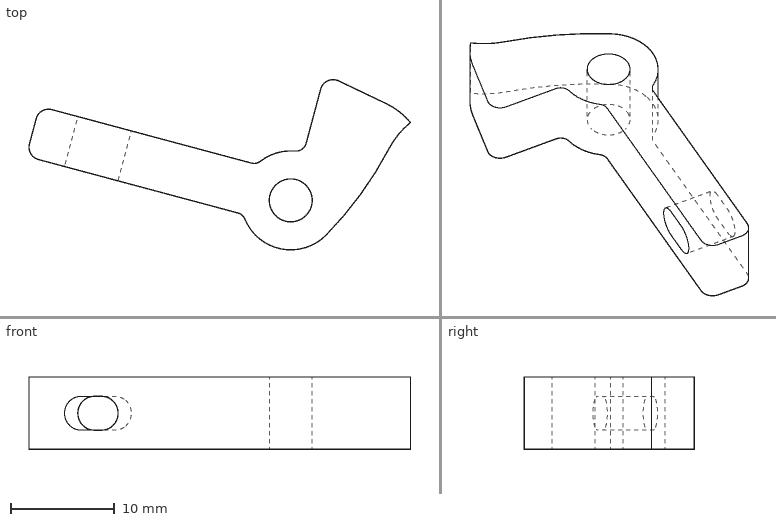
import cadquery as cq
import math

thickness = 7.0
tilt = 15.0

boss_radius = 4.8
bore_radius = 2.05

arm_width = 5.0
arm_reach = 25.77
corner_radius = 1.25
blend_radius = 1.0

slot_length = 5.35
slot_height = 3.25
slot_reach = 19.25

tip = (11.55, 7.5)
top_arc_start = (9.2, 9.35)
top_slope = 25.5
back_arc_end = (9.5, 5.0)
back_start_angle = 44.4


def arm_point(along, across):
    """Turn a position along and across the arm into X, Y."""
    angle = math.radians(tilt)
    x = along * math.cos(angle) + across * math.sin(angle)
    y = across * math.cos(angle) - along * math.sin(angle)
    return x, y


def head_corner():
    """Sharp corner where the inner side meets the line of the top edge."""
    fall = math.tan(math.radians(top_slope))
    lean = math.tan(math.radians(tilt))
    y = (top_arc_start[1] + fall * top_arc_start[0]) / (1 + fall * lean)
    return y * lean, y


def make_arm():
    return (
        cq.Workplane("XY")
        .center(-arm_reach / 2, 0)
        .rect(arm_reach, arm_width)
        .extrude(thickness)
        .edges("|Z and <X")
        .fillet(corner_radius)
        .rotate((0, 0, 0), (0, 0, 1), -tilt)
    )


def make_head():
    angle = math.radians(back_start_angle)
    back_start = (boss_radius * math.cos(angle), -boss_radius * math.sin(angle))
    back_tangent = cq.Vector(math.sin(angle), math.cos(angle))
    back = cq.Edge.makeTangentArc(cq.Vector(*back_start), back_tangent, cq.Vector(*back_arc_end))
    under_tip = cq.Edge.makeTangentArc(cq.Vector(*back_arc_end), back.tangentAt(1), cq.Vector(*tip))
    slope = math.radians(top_slope)
    top_tangent = cq.Vector(math.cos(slope), -math.sin(slope))
    top_arc = cq.Edge.makeTangentArc(cq.Vector(*top_arc_start), top_tangent, cq.Vector(*tip))
    straight_sides = [
        cq.Edge.makeLine(cq.Vector(*top_arc_start), cq.Vector(*head_corner())),
        cq.Edge.makeLine(cq.Vector(*head_corner()), cq.Vector(0, 0)),
        cq.Edge.makeLine(cq.Vector(0, 0), cq.Vector(*back_start)),
    ]
    outline = cq.Wire.assembleEdges([back, under_tip, top_arc] + straight_sides)
    return cq.Workplane("XY").add(outline).toPending().extrude(thickness)


def round_edge(body, point, radius):
    """Round the upright edge that stands at the given X, Y point."""
    middle = (point[0], point[1], thickness / 2)
    return body.edges("|Z").edges(cq.selectors.NearestToPointSelector(middle)).fillet(radius)


def cut_slot(body):
    slot = (
        cq.Workplane("XZ")
        .center(-slot_reach, thickness / 2)
        .slot2D(slot_length, slot_height)
        .extrude(arm_width, both=True)
        .rotate((0, 0, 0), (0, 0, 1), -tilt)
    )
    return body.cut(slot)


boss = cq.Workplane("XY").circle(boss_radius).extrude(thickness)
body = boss.union(make_arm()).union(make_head())

body = round_edge(body, head_corner(), corner_radius)
body = round_edge(body, arm_point(0, boss_radius), blend_radius)
arm_root = math.sqrt(boss_radius**2 - (arm_width / 2) ** 2)
for side in (-1, 1):
    body = round_edge(body, arm_point(-arm_root, side * arm_width / 2), blend_radius)

bore = cq.Workplane("XY").circle(bore_radius).extrude(thickness)
result = cut_slot(body.cut(bore))